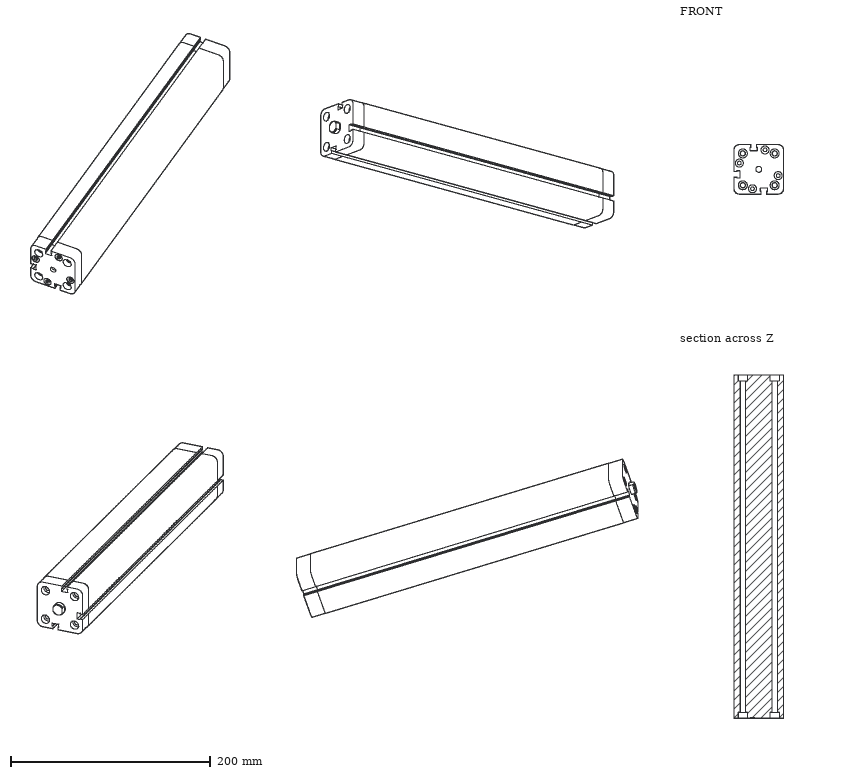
import cadquery as cq
import math

cap_width = 50.1
barrel_width = 50.0
cap_corner_radius = 6.25
barrel_corner_radius = 5.5
housing_length = 345.0
cap_length = 14.6

rod_diameter = 12.0
rod_flats_width = 10.0
rod_extension = 5.5
rod_shoulder = 0.5
rod_chamfer_length = 1.2
rod_chamfer_inset = 0.5

slot_offset = 5.1
slot_mouth_width = 5.6
slot_groove_width = 7.0
slot_lip = 3.0
slot_depth = 6.2

mount_pitch = 32.0
mount_hole_diameter = 4.92
mount_bore_diameter = 9.0
mount_bore_depth = 6.0

screw_head_diameter = 8.0
screw_along_side = 6.3
screw_from_axis = 19.5
screw_recess_depth = 0.5
socket_across_flats = 3.6
socket_depth = 2.0

centre_hole_diameter = 6.0
centre_hole_depth = 3.0

SCREW_ANGLES = (0, 90, 180, 270)
SLOT_ANGLES = (0, 90, 180)


def section_at(y):
    """Workplane normal to Y at the given Y, with local x = X and local y = Z."""
    return cq.Workplane("XZ", origin=(0, y, 0))


def extrude_along_y(sketch, length):
    """Extrude a section towards +Y, against its -Y normal."""
    return sketch.extrude(-length)


def around_axis(shape, angle):
    """Turn a shape about the Y axis, from the top side towards the -X side."""
    return shape.rotate((0, 0, 0), (0, -1, 0), angle)


def sensor_slot(width, y_start, length):
    """Slot cutter for the top side of a housing section of the given width."""
    top = width / 2
    lip_bottom = top - slot_lip
    floor = top - slot_depth
    mouth_left = -slot_offset - slot_mouth_width / 2
    mouth_right = -slot_offset + slot_mouth_width / 2
    groove_left = -slot_offset - slot_groove_width / 2
    groove_right = -slot_offset + slot_groove_width / 2
    outline = section_at(y_start).polyline([
        (mouth_left, top),
        (mouth_left, lip_bottom),
        (groove_left, lip_bottom),
        (groove_left, floor),
        (groove_right, floor),
        (groove_right, lip_bottom),
        (mouth_right, lip_bottom),
        (mouth_right, top),
    ]).close()
    return extrude_along_y(outline, length)


def housing_section(width, corner_radius, y_start, length):
    """Square bar with rounded corners and the sensor slots along its sides."""
    section = extrude_along_y(section_at(y_start).rect(width, width), length)
    section = section.edges("|Y").fillet(corner_radius)
    slot = sensor_slot(width, y_start, length)
    for angle in SLOT_ANGLES:
        section = section.cut(around_axis(slot, angle))
    return section


def housing():
    rear_cap_start = housing_length - cap_length
    barrel_length = housing_length - 2 * cap_length
    front_cap = housing_section(cap_width, cap_corner_radius, 0, cap_length)
    barrel = housing_section(barrel_width, barrel_corner_radius, cap_length, barrel_length)
    rear_cap = housing_section(cap_width, cap_corner_radius, rear_cap_start, cap_length)
    return front_cap.union(barrel).union(rear_cap)


def corner_cylinders(diameter, y_start, length):
    corners = section_at(y_start).rect(mount_pitch, mount_pitch, forConstruction=True).vertices()
    return extrude_along_y(corners.circle(diameter / 2), length)


def mounting_holes():
    rear_bore_start = housing_length - mount_bore_depth
    holes = corner_cylinders(mount_hole_diameter, 0, housing_length)
    front_bores = corner_cylinders(mount_bore_diameter, 0, mount_bore_depth)
    rear_bores = corner_cylinders(mount_bore_diameter, rear_bore_start, mount_bore_depth)
    return holes.union(front_bores).union(rear_bores)


def screw_recess():
    """Round recess above a screw head together with the hexagon socket in the head."""
    centre = section_at(0).center(screw_along_side, screw_from_axis)
    socket_across_corners = socket_across_flats / math.cos(math.pi / 6)
    recess = extrude_along_y(centre.circle(screw_head_diameter / 2), screw_recess_depth)
    socket = extrude_along_y(
        centre.polygon(6, socket_across_corners), screw_recess_depth + socket_depth
    )
    return recess.union(socket)


def centring_hole():
    return extrude_along_y(section_at(0).circle(centre_hole_diameter / 2), centre_hole_depth)


def rod_end():
    rod_tip = housing_length + rod_extension
    chamfer_start = rod_tip - rod_chamfer_length
    tip_radius = rod_diameter / 2 - rod_chamfer_inset
    profile = cq.Workplane("XY").polyline([
        (0, housing_length),
        (rod_diameter / 2, housing_length),
        (rod_diameter / 2, chamfer_start),
        (tip_radius, rod_tip),
        (0, rod_tip),
    ]).close()
    rod = profile.revolve(360, (0, 0), (0, 1))
    shoulder = extrude_along_y(section_at(housing_length).circle(rod_diameter / 2), rod_shoulder)
    between_flats = extrude_along_y(
        section_at(housing_length).rect(rod_flats_width, rod_diameter), rod_extension
    )
    return rod.intersect(between_flats).union(shoulder)


result = housing().cut(mounting_holes()).cut(centring_hole())
for angle in SCREW_ANGLES:
    result = result.cut(around_axis(screw_recess(), angle))
result = result.union(rod_end())